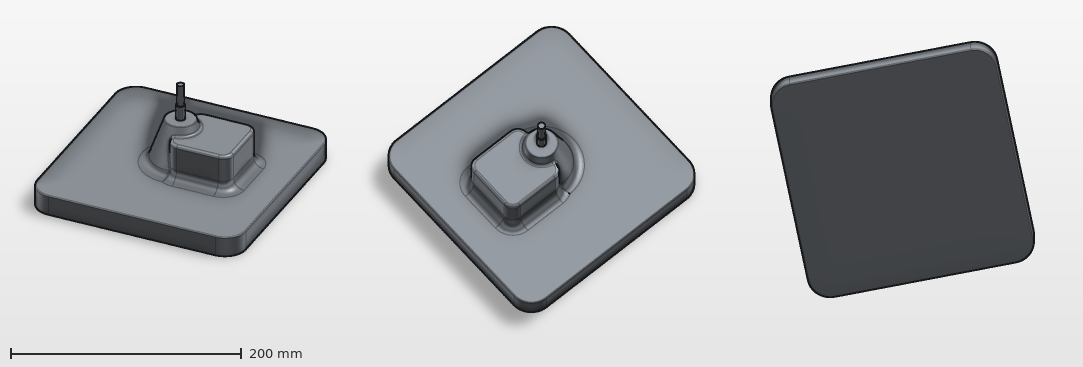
import cadquery as cq
import math

plate_side = 200.0
plate_height = 20.0
plate_corner_radius = 20.0
plate_edge_radius = 1.0

cone_base_radius = 30.0
cone_top_radius = 14.2
cone_top_z = 64.0
cone_rim_radius = 0.8

box_length = 60.0
box_width = 60.0
box_top_z = 55.2
box_corner_radius = 10.0
box_rim_radius = 3.0

seam_radius = 3.0
foot_radius = 10.0
cone_slope_angle = math.atan2(cone_top_z - plate_height, cone_base_radius - cone_top_radius)
foot_top_z = plate_height + foot_radius * (1 - math.cos(cone_slope_angle))

pin_lower_radius = 4.0
pin_upper_radius = 3.2
pin_step_z = 77.8
pin_top_z = 98.5

margin = 0.1
seam_tolerance = 0.02
sample_fractions = (0.2, 0.5, 0.8)


def make_plate():
    plate = cq.Workplane("XY").box(
        plate_side, plate_side, plate_height, centered=(True, True, False)
    )
    plate = plate.edges("|Z").fillet(plate_corner_radius)
    return plate.faces("<Z or >Z").edges().fillet(plate_edge_radius)


def make_cone():
    profile = [
        (0, plate_height),
        (cone_base_radius, plate_height),
        (cone_top_radius, cone_top_z),
        (0, cone_top_z),
    ]
    cone = cq.Workplane("XZ").polyline(profile).close().revolve(360, (0, 0), (0, 1))
    return cone.faces(">Z").edges().fillet(cone_rim_radius)


def make_box():
    box = (
        cq.Workplane("XY", origin=(0, 0, plate_height))
        .box(box_length, box_width, box_top_z - plate_height, centered=(False, True, False))
        .edges("|Z")
        .fillet(box_corner_radius)
    )
    return box.faces(">Z").edges().fillet(box_rim_radius)


def make_pin():
    lower = (
        cq.Workplane("XY", origin=(0, 0, cone_top_z))
        .circle(pin_lower_radius)
        .extrude(pin_step_z - cone_top_z)
    )
    return lower.faces(">Z").workplane().circle(pin_upper_radius).extrude(pin_top_z - pin_step_z)


def cone_radius_at(z):
    rise = (z - plate_height) / (cone_top_z - plate_height)
    return cone_base_radius + rise * (cone_top_radius - cone_base_radius)


def lies_on_cone(edge):
    for fraction in sample_fractions:
        point = edge.positionAt(fraction)
        if abs(math.hypot(point.x, point.y) - cone_radius_at(point.z)) > seam_tolerance:
            return False
    return True


def foot_edges(solid):
    """Outline of the housing where it meets the top of the plate."""
    edges = []
    for face in solid.faces("+Z").vals():
        if abs(face.Center().z - plate_height) < margin:
            for loop in face.innerWires():
                edges.extend(loop.Edges())
    return edges


def seam_edges(solid):
    """Edges above the plate, up to the box top, where the box meets the cone."""
    seams = []
    for edge in solid.edges().vals():
        bounds = edge.BoundingBox()
        above_foot = bounds.zmin > foot_top_z + margin
        below_box_top = bounds.zmax < box_top_z + margin
        if above_foot and below_box_top and lies_on_cone(edge):
            seams.append(edge)
    return seams


housing = make_cone().union(make_box())
body = make_plate().union(housing)

body = body.newObject(foot_edges(body)).fillet(foot_radius)
body = body.newObject(seam_edges(body)).fillet(seam_radius)

result = body.union(make_pin())